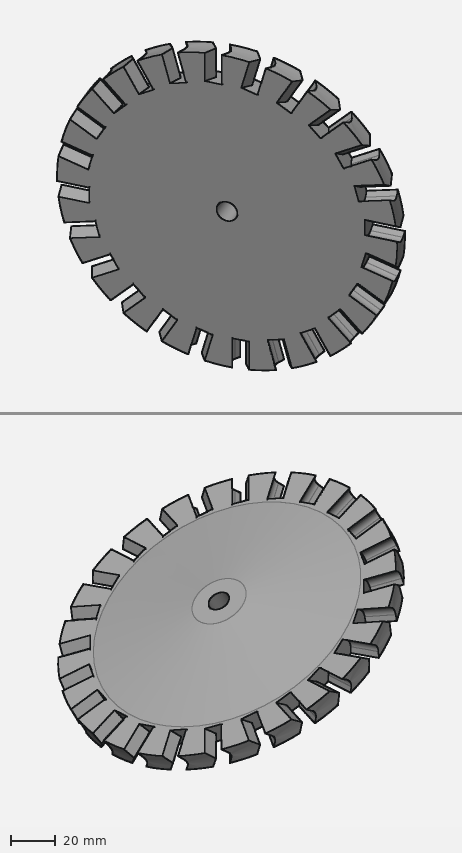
import cadquery as cq

disc_radius = 81.4
disc_thickness = 9.8
total_thickness = 19.0
bore_diameter = 10.0

hub_height = total_thickness - disc_thickness
hub_base_radius = 64.5
hub_top_radius = 13

slot_count = 24
slot_floor = 66.0
slot_width = 8.0
slot_near_side = 2.6
chevron_depth = 3.5
hollow_radius = 4.0
outer_clearance = 3.3


def wheel_body():
    """Disc and conical hub turned around the Y axis, with the bore through both."""
    bore_radius = bore_diameter / 2
    return (
        cq.Workplane("XY")
        .moveTo(bore_radius, 0)
        .lineTo(disc_radius, 0)
        .lineTo(disc_radius, disc_thickness)
        .lineTo(hub_base_radius, disc_thickness)
        .lineTo(hub_top_radius, disc_thickness + hub_height)
        .lineTo(bore_radius, disc_thickness + hub_height)
        .close()
        .revolve(360, (0, 0, 0), (0, 1, 0))
    )


def slot_cutter():
    """Chevron prism along +Z: ridged wall on its -X side, rounded hollow wall on its +X side."""
    middle = disc_thickness / 2
    hollow_side = -slot_near_side
    ridge_side = hollow_side - slot_width
    hollow_apex = hollow_side + chevron_depth
    prism = (
        cq.Workplane("XY", origin=(0, 0, slot_floor))
        .moveTo(ridge_side, 0)
        .lineTo(hollow_side, 0)
        .lineTo(hollow_apex, middle)
        .lineTo(hollow_side, disc_thickness)
        .lineTo(ridge_side, disc_thickness)
        .lineTo(ridge_side + chevron_depth, middle)
        .close()
        .extrude(disc_radius + outer_clearance - slot_floor)
    )
    hollow_edge = cq.selectors.NearestToPointSelector((hollow_apex, middle, (slot_floor + disc_radius) / 2))
    return prism.edges("|Z").edges(hollow_edge).fillet(hollow_radius)


result = wheel_body()
cutter = slot_cutter()
for index in range(slot_count):
    angle = index * 360 / slot_count
    result = result.cut(cutter.rotate((0, 0, 0), (0, 1, 0), angle))